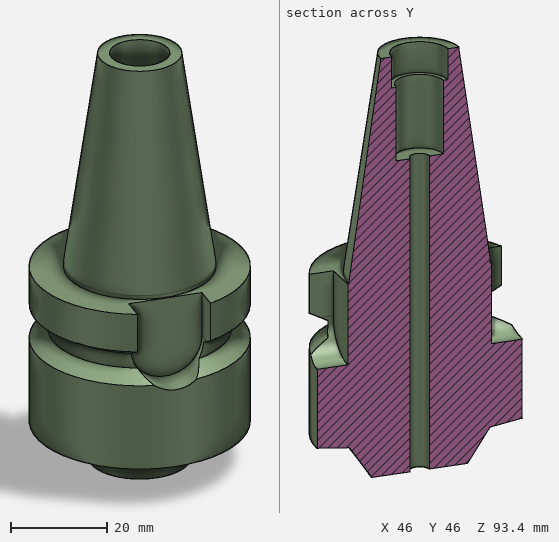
import cadquery as cq

total_height = 93.4
body_radius = 23.02

shank_top_radius = 8.8
shank_base_radius = 15.9
flange_top = 44.1
neck_height = 0.8

groove_radius = 19.15
groove_cone_height = 2.2
groove_floor_height = 3.4
flange_height = 8.7

nut_rim_height = 8.3
nose_top_height = 7.4
nose_top_radius = 15.8
nose_tip_radius = 10.7

slot_width = 16.1
slot_bottom = 26.1
slot_floor_offset = 16.2

mouth_radius = 6.3
mouth_depth = 6.9
thread_radius = 5.2
thread_depth = 23.35
through_radius = 2.15


def turned_body():
    """Solid of revolution: nose, nut, groove, flange and shank."""
    flange_bottom = flange_top - flange_height
    groove_top = flange_bottom - groove_cone_height
    groove_bottom = groove_top - groove_floor_height
    body_top = groove_bottom - groove_cone_height
    profile = [
        (0, 0),
        (nose_tip_radius, 0),
        (nose_top_radius, nose_top_height),
        (body_radius, nut_rim_height),
        (body_radius, body_top),
        (groove_radius, groove_bottom),
        (groove_radius, groove_top),
        (body_radius, flange_bottom),
        (body_radius, flange_top),
        (shank_base_radius, flange_top),
        (shank_base_radius, flange_top + neck_height),
        (shank_top_radius, total_height),
        (0, total_height),
    ]
    return cq.Workplane("XZ").polyline(profile).close().revolve(360, (0, 0), (0, 1))


def drive_slot(side):
    """Round-bottomed slot cutter, open at the flange top; side is -1 or +1 along X."""
    slot_radius = slot_width / 2
    arc_center = slot_bottom + slot_radius
    return (
        cq.Workplane("YZ", origin=(side * slot_floor_offset, 0, 0))
        .moveTo(-slot_radius, flange_top)
        .lineTo(-slot_radius, arc_center)
        .threePointArc((0, slot_bottom), (slot_radius, arc_center))
        .lineTo(slot_radius, flange_top)
        .close()
        .extrude(side * body_radius)
    )


def axial_bore(radius, depth):
    """Round cutter sunk from the shank's top face."""
    return cq.Workplane("XY", origin=(0, 0, total_height)).circle(radius).extrude(-depth)


result = turned_body()
for slot_side in (-1, 1):
    result = result.cut(drive_slot(slot_side))
for bore_radius, bore_depth in (
    (mouth_radius, mouth_depth),
    (thread_radius, thread_depth),
    (through_radius, total_height),
):
    result = result.cut(axial_bore(bore_radius, bore_depth))